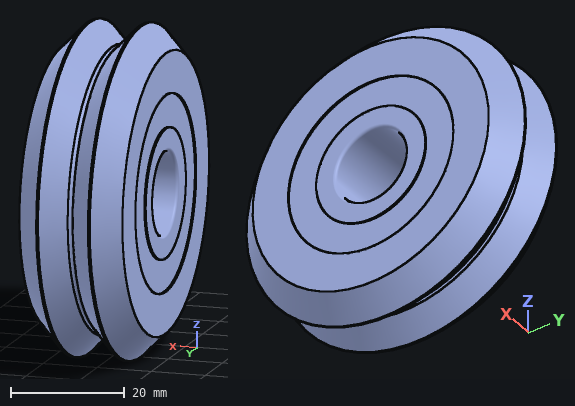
import cadquery as cq
import math

width = 19.05
outer_radius = 59.94 / 2
side_face_radius = 25.4
crest_width = 0.35
groove_width = 0.9
groove_floor_radius = 25.05

bore_radius = 7.5
bore_edge_radius = 0.6

recess_outer_radius = 17.78
recess_inner_radius = 11.75
recess_depth = 0.25

half_width = width / 2
half_groove = groove_width / 2
flank_height = outer_radius - side_face_radius
crest_outer_x = half_width - flank_height
crest_inner_x = crest_outer_x - crest_width
flank_foot_radius = outer_radius - (crest_inner_x - half_groove)
groove_wall_end = groove_floor_radius + half_groove


def make_wheel_body():
    """Revolve the double-vee section (x along the axis, second value radial) about X."""
    arc_offset = half_groove * math.sqrt(0.5)
    arc_mid_radius = groove_wall_end - arc_offset
    section = (
        cq.Workplane("XZ")
        .moveTo(-half_width, bore_radius)
        .lineTo(-half_width, side_face_radius)
        .lineTo(-crest_outer_x, outer_radius)
        .lineTo(-crest_inner_x, outer_radius)
        .lineTo(-half_groove, flank_foot_radius)
        .lineTo(-half_groove, groove_wall_end)
        .threePointArc((-arc_offset, arc_mid_radius), (0, groove_floor_radius))
        .threePointArc((arc_offset, arc_mid_radius), (half_groove, groove_wall_end))
        .lineTo(half_groove, flank_foot_radius)
        .lineTo(crest_inner_x, outer_radius)
        .lineTo(crest_outer_x, outer_radius)
        .lineTo(half_width, side_face_radius)
        .lineTo(half_width, bore_radius)
        .close()
    )
    return section.revolve(360, (0, 0, 0), (1, 0, 0))


def round_bore_edges(wheel):
    """Round the smallest circle on each side face, which is the rim of the bore."""
    return wheel.faces("<X or >X").edges(cq.selectors.RadiusNthSelector(0)).fillet(bore_edge_radius)


def make_ring_recess(side):
    """Ring cutter for one side face; side is -1 or +1 along X."""
    face = cq.Workplane("YZ", origin=(side * half_width, 0, 0))
    ring = face.circle(recess_outer_radius).circle(recess_inner_radius)
    return ring.extrude(-side * recess_depth)


result = round_bore_edges(make_wheel_body())
for side in (-1, 1):
    result = result.cut(make_ring_recess(side))